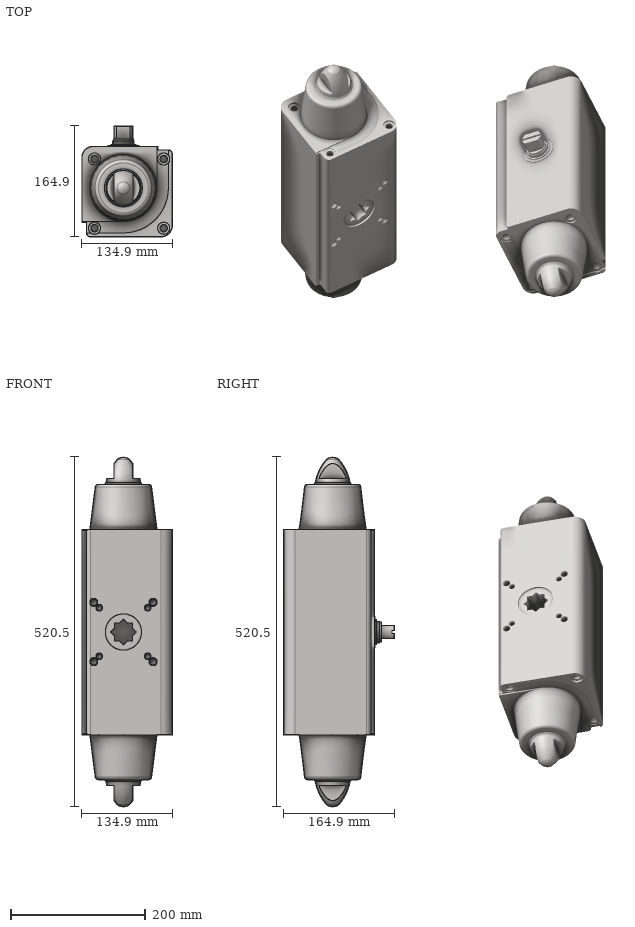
import cadquery as cq
import math


near_side = 62.0
far_side = 72.9
notch_edge = 51.5
notch_side_left = 55.2
notch_side_back = 56.8
large_corner_radius = 17.0
small_corner_radius = 6.3
block_half_length = 153.0

band_inner = 50.0
band_outer = 67.0
band_depth = 2.0

screw_near = 43.0
screw_far = 60.0
screw_head_diameter = 18.0
screw_head_depth = 3.0
screw_bore_diameter = 11.0
screw_bore_depth = 14.0

cone_base_radius = band_inner
cone_top_radius = 41.5
cone_top = 220.0
cone_rim_radius = 5.0
collar_base_radius = 28.2
collar_top = 222.3
tip_base_radius = 26.0
tip_shoulder = 228.7
tip_arc_middle_radius = 18.0
tip_arc_middle = 244.6
tip_cap_radius = 9.0
tip_cap_base = 257.2
tip_end = 260.25
tip_half_width = 14.0

mounting_patterns = [(125.0, 10.11, 12.0), (102.0, 8.38, 10.0)]
mounting_hole_depth = 18.0
drill_point_angle = 118.0

head_diameter = 54.0
head_sink = 2.5
head_length = 45.0
journal_diameter = 32.0
washer_diameter = 46.0
washer_top = near_side + 1.3
ring_diameter = 37.0
ring_top = near_side + 3.0
journal_top = near_side + 8.0
neck_diameter = 30.0
drive_diameter = 28.4
drive_shoulder = near_side + 11.0
shaft_end = 92.0
drive_half_thickness = 10.0
slot_width = 4.0
slot_depth = 3.5
socket_square = 27.0
socket_depth = 35.0


def cylinder_along_y(diameter, start, end):
    """Cylinder on the Y axis from y=start to y=end."""
    return cq.Workplane("XZ", origin=(0, start, 0)).circle(diameter / 2).extrude(start - end)


def make_block():
    block = (
        cq.Workplane("XY", origin=(0, 0, -block_half_length))
        .moveTo(-near_side, near_side)
        .lineTo(notch_edge, near_side)
        .lineTo(notch_edge, notch_side_back)
        .lineTo(far_side, notch_side_back)
        .lineTo(far_side, -far_side)
        .lineTo(-notch_side_left, -far_side)
        .lineTo(-notch_side_left, -notch_edge)
        .lineTo(-near_side, -notch_edge)
        .close()
        .extrude(2 * block_half_length)
    )

    def round_corners(body, corners, radius):
        for x, y in corners:
            body = body.edges(cq.selectors.NearestToPointSelector((x, y, 0))).fillet(radius)
        return body

    block = round_corners(block, [(-near_side, near_side), (far_side, -far_side)], large_corner_radius)
    small_corners = [(far_side, notch_side_back), (-notch_side_left, -far_side)]
    return round_corners(block, small_corners, small_corner_radius)


def make_band():
    """Cutter for the sunk band on the +Z end face."""
    diagonal = math.sqrt(0.5)
    return (
        cq.Workplane("XY", origin=(0, 0, block_half_length - band_depth))
        .moveTo(band_inner, far_side)
        .lineTo(band_inner, 0)
        .threePointArc((band_inner * diagonal, -band_inner * diagonal), (0, -band_inner))
        .lineTo(-far_side, -band_inner)
        .lineTo(-far_side, -band_outer)
        .lineTo(0, -band_outer)
        .threePointArc((band_outer * diagonal, -band_outer * diagonal), (band_outer, 0))
        .lineTo(band_outer, far_side)
        .close()
        .extrude(2 * band_depth)
    )


def make_screw_pockets():
    """Cutters for the four stepped screw pockets of the +Z end face."""
    places = [
        (x, y)
        for x in (-screw_near, screw_far)
        for y in (screw_near, -screw_far)
    ]
    face = cq.Workplane("XY", origin=(0, 0, block_half_length)).pushPoints(places)
    heads = face.circle(screw_head_diameter / 2).extrude(-screw_head_depth)
    bores = face.circle(screw_bore_diameter / 2).extrude(-screw_bore_depth)
    return heads.union(bores)


def make_spring_end():
    """Tapered spring housing with a domed tip on a sloping collar, standing on the +Z end face."""
    cone = (
        cq.Workplane("XZ")
        .moveTo(0, block_half_length - band_depth)
        .lineTo(cone_base_radius, block_half_length - band_depth)
        .lineTo(cone_base_radius, block_half_length)
        .lineTo(cone_top_radius, cone_top)
        .lineTo(0, cone_top)
        .close()
        .revolve(360, (0, 0, 0), (0, 1, 0))
        .faces(">Z")
        .edges()
        .fillet(cone_rim_radius)
    )
    cap_rise = tip_end - tip_cap_base
    cap_sphere_radius = (tip_cap_radius**2 + cap_rise**2) / (2 * cap_rise)
    half_angle = math.asin(tip_cap_radius / cap_sphere_radius) / 2
    cap_middle = (
        cap_sphere_radius * math.sin(half_angle),
        tip_end - cap_sphere_radius * (1 - math.cos(half_angle)),
    )
    tip = (
        cq.Workplane("XZ")
        .moveTo(0, cone_top)
        .lineTo(collar_base_radius, cone_top)
        .lineTo(tip_base_radius, collar_top)
        .threePointArc((tip_arc_middle_radius, tip_arc_middle), (tip_cap_radius, tip_cap_base))
        .threePointArc(cap_middle, (0, tip_end))
        .close()
        .revolve(360, (0, 0, 0), (0, 1, 0))
    )
    for side in (-1, 1):
        flat = cq.Workplane("XY").box(
            tip_base_radius, 3 * tip_base_radius, tip_end, centered=(True, True, False)
        )
        tip = tip.cut(flat.translate((side * (tip_half_width + tip_base_radius / 2), 0, tip_shoulder)))
    return cone.union(tip)


def make_mounting_hole(core_diameter, mouth_diameter):
    """Cutter for a countersunk blind hole with a drill point, entering at the origin toward +Y."""
    core = core_diameter / 2
    mouth = mouth_diameter / 2
    point = core / math.tan(math.radians(drill_point_angle / 2))
    return (
        cq.Workplane("XY")
        .moveTo(0, 0)
        .lineTo(mouth, 0)
        .lineTo(core, mouth - core)
        .lineTo(core, mounting_hole_depth)
        .lineTo(0, mounting_hole_depth + point)
        .close()
        .revolve(360, (0, 0, 0), (0, 1, 0))
    )


def make_housing():
    housing = make_block()
    spring_end = make_spring_end()
    band = make_band()
    pockets = make_screw_pockets()
    housing = housing.cut(band).cut(band.mirror("XY"))
    housing = housing.union(spring_end).union(spring_end.mirror("XY"))
    housing = housing.cut(pockets).cut(pockets.mirror("XY"))

    for pitch_circle, core_diameter, mouth_diameter in mounting_patterns:
        hole = make_mounting_hole(core_diameter, mouth_diameter)
        offset = pitch_circle / 2 * math.sqrt(0.5)
        for x in (-offset, offset):
            for z in (-offset, offset):
                housing = housing.cut(hole.translate((x, -far_side, z)))

    head_seat = cylinder_along_y(head_diameter, -far_side, head_length + head_sink - far_side)
    journal_bore = cylinder_along_y(journal_diameter, -far_side, near_side)
    return housing.cut(head_seat).cut(journal_bore)


def make_shaft():
    head_face = head_sink - far_side
    head_end = head_face + head_length
    shaft = (
        cylinder_along_y(head_diameter, head_face, head_end)
        .union(cylinder_along_y(journal_diameter, head_end, journal_top))
        .union(cylinder_along_y(washer_diameter, near_side, washer_top))
        .union(cylinder_along_y(ring_diameter, washer_top, ring_top))
        .union(cylinder_along_y(neck_diameter, journal_top, drive_shoulder))
        .union(cylinder_along_y(drive_diameter, drive_shoulder, shaft_end))
    )

    drive_length = shaft_end - drive_shoulder
    for side in (-1, 1):
        flat = cq.Workplane("XY").box(2 * drive_diameter, drive_length, drive_diameter)
        height = side * (drive_half_thickness + drive_diameter / 2)
        shaft = shaft.cut(flat.translate((0, drive_shoulder + drive_length / 2, height)))

    slot = cq.Workplane("XY").box(2 * drive_diameter, 2 * slot_depth, slot_width)
    shaft = shaft.cut(slot.translate((0, shaft_end, 0)))

    for angle in (0, 45):
        square = cq.Workplane("XY").box(socket_square, 2 * socket_depth, socket_square)
        square = square.rotate((0, 0, 0), (0, 1, 0), angle)
        shaft = shaft.cut(square.translate((0, head_face, 0)))
    return shaft


housing = make_housing()
shaft = make_shaft()
result = cq.Compound.makeCompound([housing.val(), shaft.val()])